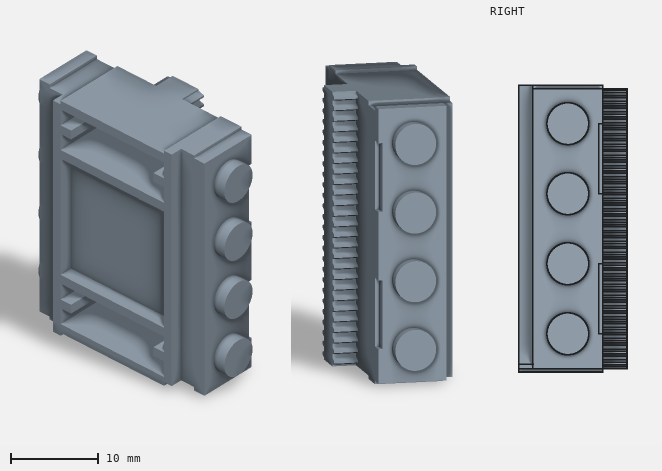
import cadquery as cq


stud_pitch = 8.0
stud_count = 4
stud_diameter = 4.8
stud_length = 1.6
body_height = stud_count * stud_pitch
opening_width = 2 * stud_pitch
side_width = 4.8
body_width = opening_width + 2 * side_width
front_step_width = 3.6
front_step_depth = 1.6
block_depth = stud_pitch
body_depth = front_step_depth + block_depth

wall = 1.2
window_height = opening_width
window_depth = 1.77
pocket_height = (body_height - window_height - 4 * wall) / 2
pocket_depth = body_depth - wall
pocket_offset = (window_height + pocket_height) / 2 + wall
key_width = 1.6
key_height = wall

strip_margin = 1.6
strip_width = side_width - strip_margin
tab_height = 0.4
groove_depth = 0.5
notch_depth = 0.5
notch_width = strip_margin
notch_height = stud_pitch

tooth_count = 26
tooth_pitch = body_height / tooth_count
tooth_root = 0.82
tooth_tip = 0.25
tooth_height = 0.85
rack_core_width = 4.0
rack_depth = 2.8

SIDES = (-1, 1)


def box(x, z, y_start, width, depth, height):
    """Box centred on (x, z) that runs back from y_start."""
    return cq.Workplane("XY").box(width, depth, height).translate((x, y_start + depth / 2, z))


def make_body():
    front_width = body_width - 2 * front_step_width
    front = box(0, 0, 0, front_width, body_depth, body_height)
    block = box(0, 0, front_step_depth, body_width, block_depth, body_height)
    return front.union(block)


def make_strip(side, end, height):
    """Full-depth end strip, following the front step, standing out from one end of the body."""
    outer_x = body_width / 2 - strip_margin
    step_x = body_width / 2 - front_step_width
    inner_x = outer_x - strip_width
    outline = [
        (inner_x, 0),
        (step_x, 0),
        (step_x, front_step_depth),
        (outer_x, front_step_depth),
        (outer_x, body_depth),
        (inner_x, body_depth),
    ]
    points = [(side * x, y) for x, y in outline]
    strip = cq.Workplane("XY").workplane(offset=end * body_height / 2)
    return strip.polyline(points).close().extrude(end * height)


def make_pocket(z):
    """Deep pocket with a locating key left standing on each side wall."""
    pocket = box(0, z, 0, opening_width, pocket_depth, pocket_height)
    for side in SIDES:
        key_x = side * (opening_width - key_width) / 2
        pocket = pocket.cut(box(key_x, z, 0, key_width, pocket_depth, key_height))
    return pocket


def make_studs():
    stud_y = front_step_depth + block_depth / 2
    first_z = -(stud_count - 1) * stud_pitch / 2
    points = [(stud_y, first_z + i * stud_pitch) for i in range(stud_count)]
    span = body_width / 2 + stud_length
    return cq.Workplane("YZ").pushPoints(points).circle(stud_diameter / 2).extrude(span, both=True)


def make_rack():
    """Rack bar with trapezoidal teeth along both of its long sides."""
    half_core = rack_core_width / 2
    half_tip = half_core + tooth_height
    bottom_z = -body_height / 2
    outline = [(half_core, bottom_z)]
    for i in range(tooth_count):
        tooth_z = bottom_z + (i + 0.5) * tooth_pitch
        outline += [
            (half_core, tooth_z - tooth_root / 2),
            (half_tip, tooth_z - tooth_tip / 2),
            (half_tip, tooth_z + tooth_tip / 2),
            (half_core, tooth_z + tooth_root / 2),
        ]
    outline.append((half_core, -bottom_z))
    outline += [(-x, z) for x, z in reversed(outline)]
    rack = cq.Workplane("XZ", origin=(0, body_depth, 0))
    return rack.polyline(outline).close().extrude(-rack_depth)


result = make_body().union(make_studs()).union(make_rack())

for side in SIDES:
    result = result.union(make_strip(side, side, tab_height))
    result = result.cut(make_strip(side, -side, -groove_depth))

result = result.cut(box(0, 0, 0, opening_width, window_depth, window_height))
for end in SIDES:
    result = result.cut(make_pocket(end * pocket_offset))

for side in SIDES:
    for end in SIDES:
        notch_x = side * (body_width - notch_width) / 2
        notch_y = body_depth - notch_depth
        notch = box(notch_x, end * notch_height, notch_y, notch_width, notch_depth, notch_height)
        result = result.cut(notch)